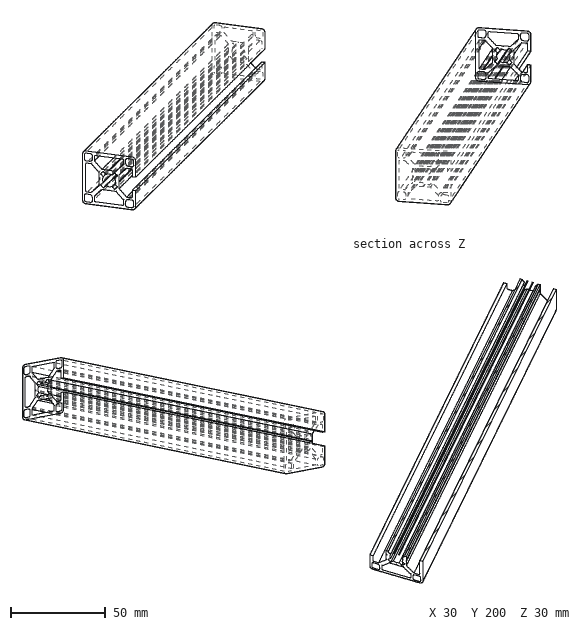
import cadquery as cq

length = 200.0
side = 30.0
half_side = side / 2
edge_radius = 2.0

face_wall = 1.9
rib_offset = 1.8
core_width = 11.5
core_half = core_width / 2
cavity_width = 16.5
cavity_radius = 0.5

groove_width = 0.5
groove_depth = 0.2

mouth_width = 7.5

tube_wall = 1.2
tube_size = 4.5
tube_radius = 1.0
tube_inner_radius = 1.5

bore_radius = 3.5
relief_radius = 5.5
relief_width = 2.2


def extrude_profile(sketch):
    """Extrude a sketch drawn in the XZ plane, centred along Y."""
    return sketch.extrude(length / 2, both=True)


def profile_plane():
    return cq.Workplane("XZ")


def make_cavity():
    """Cavity between the core and the +X face, bounded by the diagonal ribs."""
    outer = half_side - face_wall
    cavity_half = cavity_width / 2
    points = [
        (core_half, core_half - rib_offset),
        (cavity_half + rib_offset, cavity_half),
        (outer, cavity_half),
    ]
    mirrored = [(x, -z) for x, z in reversed(points)]
    cavity = extrude_profile(profile_plane().polyline(points + mirrored).close())
    return cavity.edges("|Y").edges(">X").fillet(cavity_radius)


def make_centring_groove():
    """V groove along the middle of the core's +X face."""
    points = [
        (core_half, groove_width / 2),
        (core_half - groove_depth, 0),
        (core_half, -groove_width / 2),
    ]
    return extrude_profile(profile_plane().polyline(points).close())


def make_corner_tube():
    """Square hole in the +X +Z corner, rounder at the corner facing the core."""
    centre = half_side - tube_wall - tube_size / 2
    tube = extrude_profile(profile_plane().center(centre, centre).rect(tube_size, tube_size))
    tube = tube.faces(">X").edges("|Y").fillet(tube_radius)
    tube = tube.faces("<X").edges("|Y and >Z").fillet(tube_radius)
    return tube.faces("<X").edges("|Y and <Z").fillet(tube_inner_radius)


def make_core_bore():
    """Round bore joined to diagonal reliefs that end on a larger circle."""
    bore = extrude_profile(profile_plane().circle(bore_radius))
    limit = extrude_profile(profile_plane().circle(relief_radius))
    strip = extrude_profile(profile_plane().rect(side, relief_width))
    for angle in (45, -45):
        relief = strip.rotate((0, 0, 0), (0, 1, 0), angle)
        bore = bore.union(relief.intersect(limit))
    return bore


def make_mouth():
    """Opening through the +X face into its cavity."""
    depth = half_side - core_half
    mouth = profile_plane().center(core_half + depth / 2, 0).rect(depth, mouth_width)
    return extrude_profile(mouth)


result = cq.Workplane("XY").box(side, length, side).edges("|Y").fillet(edge_radius)
cavity = make_cavity()
centring_groove = make_centring_groove()
corner_tube = make_corner_tube()
for turn in range(4):
    for cut in (cavity, centring_groove, corner_tube):
        result = result.cut(cut.rotate((0, 0, 0), (0, 1, 0), 90 * turn))
result = result.cut(make_core_bore()).cut(make_mouth())